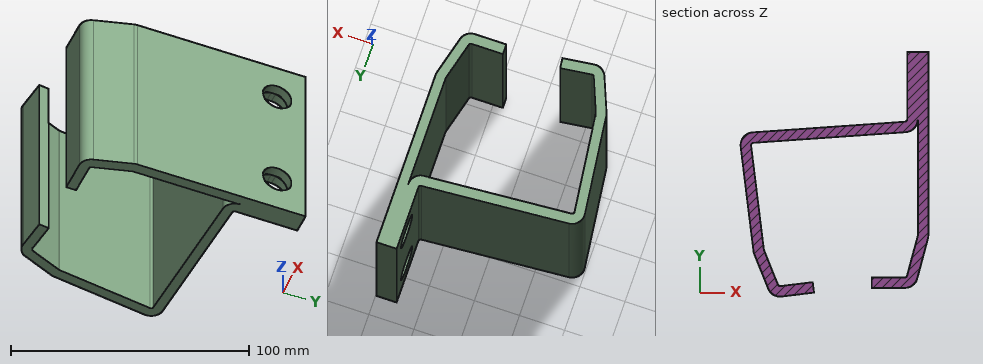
import cadquery as cq
import math

height = 85.0
sheet = 4.5
inner_bend_radius = 1.0

down = -90.0
left = -180.0

wall_length = 77.6
wall_lower_length = 22.3
wall_lip_length = 18.1
flare_angle = 15.0

flange_length = 29.2
top_leg_length = 70.8
top_leg_slope = 4.0
side_tilt = 7.0
side_length = 50.5
side_lower_length = 20.5
side_lip_length = 17.9

hole_diameter = 13.0
slot_length = 15.0
hole_edge_distance = 13.0
hole_spacing = 50.0


def trace_corners(start, legs):
    """Corner points of a path given as (length, heading in degrees) legs."""
    corners = [start]
    for length, heading in legs:
        x, y = corners[-1]
        angle = math.radians(heading)
        corners.append((x + length * math.cos(angle), y + length * math.sin(angle)))
    return corners


def bent_strip(start, legs, material_side):
    """Sheet following sharp face corners; material lies left (+1) or right (-1) of the path."""
    headings = [heading for _, heading in legs]
    face = trace_corners(start, legs)
    turns = [math.radians(after - before) for before, after in zip(headings, headings[1:])]

    normals = [math.radians(heading + 90 * material_side) for heading in headings]
    offsets = [(sheet, normals[0])]
    for normal, turn in zip(normals, turns):
        offsets.append((sheet / math.cos(turn / 2), normal + turn / 2))
    offsets.append((sheet, normals[-1]))
    back = [
        (x + reach * math.cos(angle), y + reach * math.sin(angle))
        for (x, y), (reach, angle) in zip(face, offsets)
    ]

    strip = cq.Workplane("XY").polyline(face + back[::-1]).close().extrude(height)
    for corner, opposite, turn in zip(face[1:-1], back[1:-1], turns):
        face_is_inside = turn * material_side < 0
        inside, outside = (corner, opposite) if face_is_inside else (opposite, corner)
        strip = round_corner(strip, inside, inner_bend_radius)
        strip = round_corner(strip, outside, inner_bend_radius + sheet)
    return strip


def round_corner(body, corner, radius):
    """Fillet the vertical edge standing on the given corner."""
    x, y = corner
    at_corner = cq.selectors.NearestToPointSelector((x, y, height / 2))
    return body.edges("|Z").edges(at_corner).fillet(radius)


def make_wall():
    """Straight wall, flared leg and lip, with the material on the -X side."""
    legs = [
        (wall_length, down),
        (wall_lower_length, down - flare_angle),
        (wall_lip_length, left),
    ]
    return bent_strip((0, 0), legs, -1)


def make_arm():
    """Folded arm whose flange lies flat against the wall."""
    side_heading = down + side_tilt
    legs = [
        (flange_length, down),
        (top_leg_length, left + top_leg_slope),
        (side_length, side_heading),
        (side_lower_length, side_heading + flare_angle),
        (side_lip_length, side_tilt),
    ]
    return bent_strip((-2 * sheet, 0), legs, 1)


def mounting_holes():
    """Round holes through the wall layer and slots through the arm layer."""
    centers = [(-hole_edge_distance, height / 2 + side * hole_spacing / 2) for side in (-1, 1)]
    holes = cq.Workplane("YZ").pushPoints(centers).circle(hole_diameter / 2).extrude(-sheet)
    slots = (
        cq.Workplane("YZ", origin=(-sheet, 0, 0))
        .pushPoints(centers)
        .slot2D(slot_length, hole_diameter)
        .extrude(-sheet)
    )
    return holes.union(slots)


result = make_wall().union(make_arm()).cut(mounting_holes())